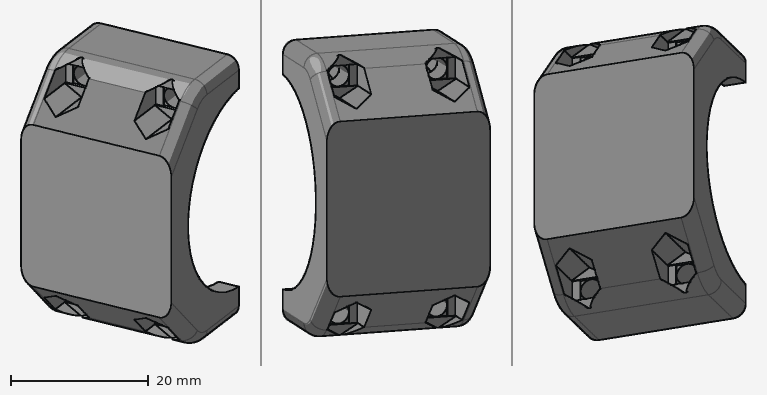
import cadquery as cq
import math

WIDTH = 25.0
DEPTH = 20.0
HEIGHT = 41.95
FRONT_HEIGHT = 26.0
BEVEL_ROUND = 6.0
SIDE_ROUND = 2.0

BORE_RADIUS = 16.0
BORE_OFFSET = 1.0

HOLE_DIAMETER = 3.2
HOLE_PITCH_X = 15.0
HOLE_PITCH_Z = 35.25

NUT_FLATS = 5.6
NUT_CORNERS = NUT_FLATS / math.cos(math.radians(30))
NUT_SEAT = 11.0
STEP = 0.3

RELIEF_DEPTH = 6.0


def make_body():
    """Bevelled block with rounded sides, before anything is cut from it."""
    bevel = (HEIGHT - FRONT_HEIGHT) / 2
    outline = [
        (0, -HEIGHT / 2),
        (bevel - DEPTH, -HEIGHT / 2),
        (-DEPTH, -FRONT_HEIGHT / 2),
        (-DEPTH, FRONT_HEIGHT / 2),
        (bevel - DEPTH, HEIGHT / 2),
        (0, HEIGHT / 2),
    ]
    block = cq.Workplane("YZ").polyline(outline).close().extrude(WIDTH / 2, both=True)
    bevel_corners = block.faces("<Z or >Z").edges("|X").edges("not >Y")
    block = bevel_corners.fillet(BEVEL_ROUND)
    return block.faces("<X or >X").edges("not(<Y or >Y)").fillet(SIDE_ROUND)


def make_bore():
    """Round opening for the clamped tube, along X."""
    return (
        cq.Workplane("YZ")
        .center(BORE_OFFSET, 0)
        .circle(BORE_RADIUS)
        .extrude(WIDTH, both=True)
    )


def from_open_side(distance):
    """Sketch plane parallel to the open side; extruding goes toward the front."""
    return cq.Workplane("XZ", origin=(0, -distance, 0))


def make_bolt_cut(x, z):
    """Bolt hole with nut pocket, stepped pocket floor and relief slot."""
    hole = from_open_side(0).center(x, z).circle(HOLE_DIAMETER / 2).extrude(DEPTH)
    nut_pocket = (
        from_open_side(NUT_SEAT)
        .center(x, z)
        .transformed(rotate=(0, 0, 90))
        .polygon(6, NUT_CORNERS)
        .extrude(DEPTH)
    )
    wide_step = (
        from_open_side(NUT_SEAT - STEP)
        .center(x, z)
        .rect(NUT_FLATS, HOLE_DIAMETER)
        .extrude(STEP)
    )
    square_step = (
        from_open_side(NUT_SEAT - 2 * STEP)
        .center(x, z)
        .rect(HOLE_DIAMETER, HOLE_DIAMETER)
        .extrude(STEP)
    )
    relief = (
        from_open_side(0)
        .center(x, z / 2)
        .rect(HOLE_DIAMETER, abs(z))
        .extrude(RELIEF_DEPTH)
    )
    return hole.union(nut_pocket).union(wide_step).union(square_step).union(relief)


result = make_body().cut(make_bore())
for x in (-HOLE_PITCH_X / 2, HOLE_PITCH_X / 2):
    for z in (-HOLE_PITCH_Z / 2, HOLE_PITCH_Z / 2):
        result = result.cut(make_bolt_cut(x, z))